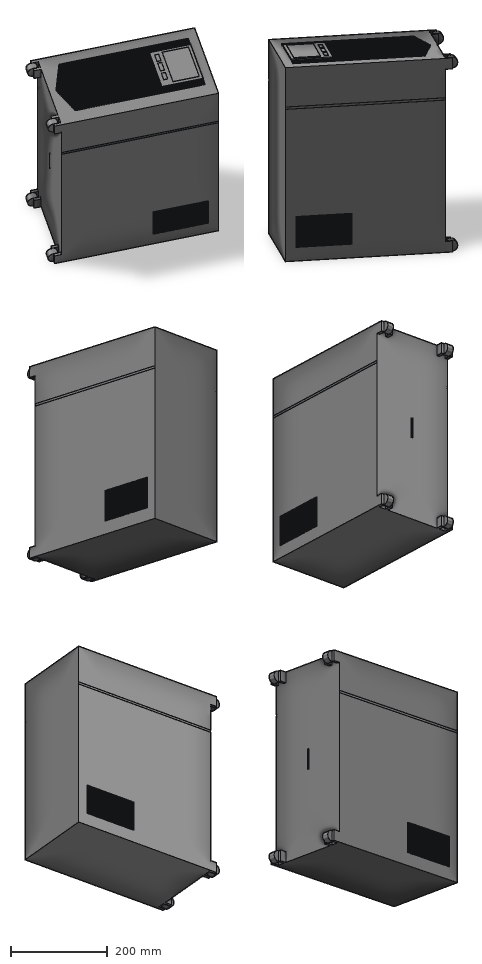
import cadquery as cq
import math

CASE_WIDTH = 190.0
CASE_DEPTH = 337.5
CASE_HEIGHT = 423.0

RECESS_DEPTH = 2.0

WHEEL_RADIUS = 12.0
WHEEL_WIDTH = 15.5
FORK_CHEEK = 7.0
OVERALL_DEPTH = 364.2
FORK_WIDTH = WHEEL_WIDTH + 2 * FORK_CHEEK
FORK_HEIGHT = 2 * WHEEL_RADIUS
FORK_FRONT = OVERALL_DEPTH - WHEEL_RADIUS
FORK_LENGTH = FORK_FRONT - CASE_DEPTH

PANEL_WIDTH = 99.0
PANEL_LENGTH = 89.0
PANEL_THICKNESS = 3.0
PANEL_CENTER_X = -1.0
PANEL_BACK = 20.5
PAD_THICKNESS = 1.0
SCREEN_WIDTH = 85.5
SCREEN_LENGTH = 56.5
SCREEN_MARGIN = 7.0
SCREEN_BACK = PANEL_BACK + SCREEN_MARGIN
BUTTON_LENGTH = 8.5
BUTTON_BACK = 92.2
BUTTONS = [(-30.7, 19.0), (-5.0, 22.0), (22.0, 19.0)]

GRILLE_COUNT = 27
GRILLE_SLOT = 3.0
GRILLE_RIB = 2.0
GRILLE_PITCH = GRILLE_SLOT + GRILLE_RIB
GRILLE_CENTER_X = -3.65
GRILLE_TIP_X = -2.5
GRILLE_TIP = 323.0
GRILLE_END_ANGLE = 20.0

VENT_COUNT = 30
VENT_SLOT = 2.0
VENT_PITCH = 2 * VENT_SLOT
VENT_BACK = 22.0
VENT_BOTTOM = 30.0
VENT_HEIGHT = 66.5

JOINT_BOTTOM = 332.0
JOINT_HEIGHT = 5.0
JOINT_DEPTH = 0.5

SLIT_WIDTH = 3.0
SLIT_HEIGHT = 44.5


def block(width, depth, height, center_x, back, bottom):
    """Box centred on center_x, its back `back` in front of Y = 0, its base at `bottom`."""
    return (
        cq.Workplane("XY")
        .box(width, depth, height, centered=(True, False, False))
        .translate((center_x, -back - depth, bottom))
    )


def castor(center_x, bottom):
    """Fork with a through slot, and the wheel that fills the slot's width."""
    fork = block(FORK_WIDTH, FORK_LENGTH, FORK_HEIGHT, center_x, CASE_DEPTH, bottom)
    slot = block(WHEEL_WIDTH, FORK_LENGTH, FORK_HEIGHT, center_x, CASE_DEPTH, bottom)
    wheel = (
        cq.Workplane("YZ", origin=(center_x - WHEEL_WIDTH / 2, -FORK_FRONT, bottom + WHEEL_RADIUS))
        .circle(WHEEL_RADIUS)
        .extrude(WHEEL_WIDTH)
    )
    return fork.cut(slot).union(wheel)


def grille():
    """Cutter for the top grooves, left solid under the control panel."""
    reach = CASE_WIDTH / 2
    shoulder = GRILLE_TIP - reach * math.tan(math.radians(GRILLE_END_ANGLE))
    floor = CASE_HEIGHT - RECESS_DEPTH
    outline = (
        cq.Workplane("XY", origin=(GRILLE_TIP_X, 0, floor))
        .moveTo(-reach, -PANEL_BACK)
        .lineTo(reach, -PANEL_BACK)
        .lineTo(reach, -shoulder)
        .lineTo(0, -GRILLE_TIP)
        .lineTo(-reach, -shoulder)
        .close()
        .extrude(RECESS_DEPTH)
    )
    grooves = (
        cq.Workplane("XY", origin=(GRILLE_CENTER_X, -CASE_DEPTH / 2, floor))
        .rarray(GRILLE_PITCH, 4.3, GRILLE_COUNT, 1)
        .rect(GRILLE_SLOT, CASE_DEPTH)
        .extrude(RECESS_DEPTH)
    )
    panel_footprint = block(PANEL_WIDTH, PANEL_LENGTH, RECESS_DEPTH, PANEL_CENTER_X, PANEL_BACK, floor)
    return grooves.intersect(outline).cut(panel_footprint)


def side_vents(side):
    """Cutter for the row of vent slots on one side (-1 left, 1 right)."""
    center_y = -VENT_BACK - ((VENT_COUNT - 1) * VENT_PITCH + VENT_SLOT) / 2
    return (
        cq.Workplane("YZ", origin=(side * CASE_WIDTH / 2, center_y, VENT_BOTTOM + VENT_HEIGHT / 2))
        .rarray(VENT_PITCH, 4.3, VENT_COUNT, 1)
        .rect(VENT_SLOT, VENT_HEIGHT)
        .extrude(-side * RECESS_DEPTH)
    )


def side_joint(side):
    """Cutter for the shallow groove along one side."""
    center_x = side * (CASE_WIDTH - JOINT_DEPTH) / 2
    return block(JOINT_DEPTH, CASE_DEPTH, JOINT_HEIGHT, center_x, 0, JOINT_BOTTOM)


body = block(CASE_WIDTH, CASE_DEPTH, CASE_HEIGHT, 0, 0, 0).cut(grille())
for side in (-1, 1):
    body = body.cut(side_vents(side)).cut(side_joint(side))
slit_back = CASE_DEPTH - RECESS_DEPTH
slit_bottom = (CASE_HEIGHT - SLIT_HEIGHT) / 2
body = body.cut(block(SLIT_WIDTH, RECESS_DEPTH, SLIT_HEIGHT, 0, slit_back, slit_bottom))

panel = block(PANEL_WIDTH, PANEL_LENGTH, PANEL_THICKNESS, PANEL_CENTER_X, PANEL_BACK, CASE_HEIGHT)
panel_top = CASE_HEIGHT + PANEL_THICKNESS
screen = block(SCREEN_WIDTH, SCREEN_LENGTH, PAD_THICKNESS, PANEL_CENTER_X, SCREEN_BACK, panel_top)
body = body.union(panel).union(screen)
for button_x, button_width in BUTTONS:
    button = block(button_width, BUTTON_LENGTH, PAD_THICKNESS, button_x, BUTTON_BACK, panel_top)
    body = body.union(button)

castor_x = (CASE_WIDTH - FORK_WIDTH) / 2
for side in (-1, 1):
    for castor_bottom in (0, CASE_HEIGHT - FORK_HEIGHT):
        body = body.union(castor(side * castor_x, castor_bottom))

result = body